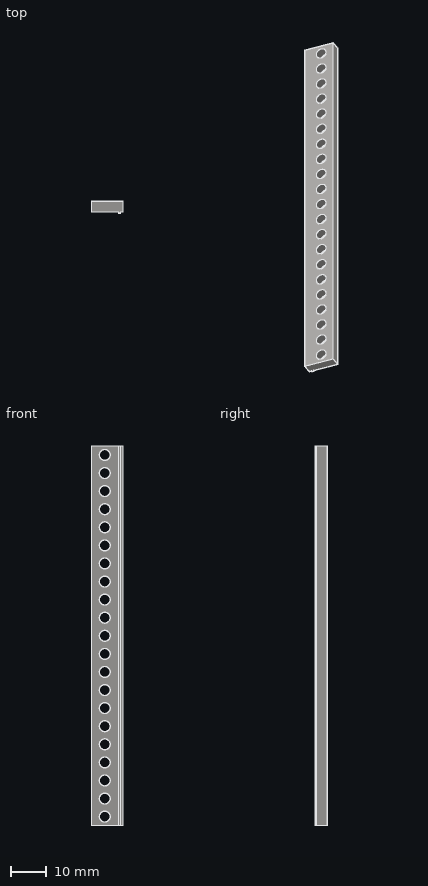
import cadquery as cq

length = 106.6
width = 8.8
total_depth = 3.4
rib_height = 0.3
body_depth = total_depth - rib_height

rib_width = 0.5
rib_edge_gap = 0.7

hole_count = 21
hole_diameter = 3.0
hole_x = 3.7
hole_pitch = length / hole_count


def make_body():
    """Plain strip with its front face on Y = 0."""
    return cq.Workplane("XY").box(width, body_depth, length, centered=False)


def make_rib():
    """Narrow full-length rib standing out from the front face."""
    rib_x = width - rib_edge_gap - rib_width
    return (
        cq.Workplane("XY")
        .box(rib_width, rib_height, length, centered=False)
        .translate((rib_x, -rib_height, 0))
    )


def make_holes():
    """Evenly spaced cylinders that run through the strip along Y."""
    centers = [(hole_x, (i + 0.5) * hole_pitch) for i in range(hole_count)]
    return (
        cq.Workplane("XZ")
        .pushPoints(centers)
        .circle(hole_diameter / 2)
        .extrude(-body_depth)
    )


result = make_body().union(make_rib()).cut(make_holes())